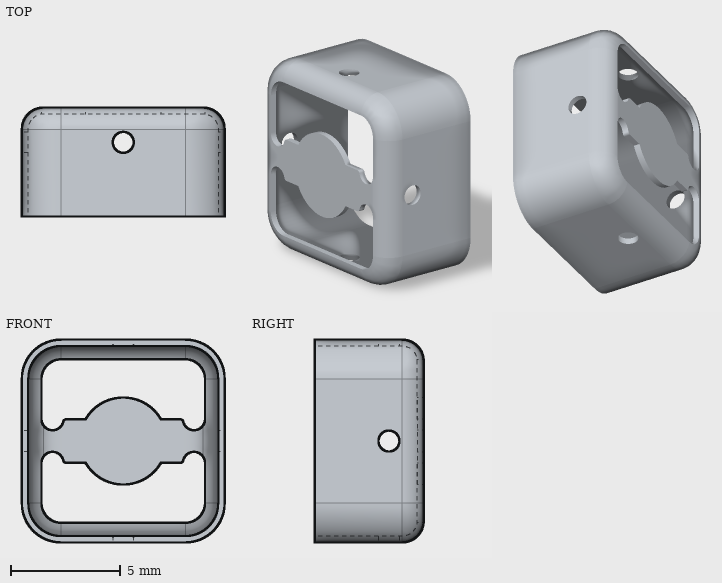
import cadquery as cq

side = 9.3
depth = 5.0
wall = 0.3
corner_radius = 1.8
rim_radius = 1.0

window_inset = 0.91
window_side = side - 2 * window_inset
window_corner_radius = corner_radius - window_inset

disc_radius = 2.0
bar_half_height = disc_radius / 2
notch_radius = bar_half_height / 2
notch_x = window_side / 2 - notch_radius
bar_end_radius = 0.15

hole_diameter = 0.95
hole_from_rear = 1.6

front_y = -depth / 2
rear_y = depth / 2
hole_y = rear_y - hole_from_rear


def front_plane(y):
    """XZ sketch plane at the given Y, extruding toward +Y."""
    return cq.Workplane(cq.Plane(origin=(0, y, 0), xDir=(-1, 0, 0), normal=(0, 1, 0)))


def rounded_block(width, length, edge_radius, rear_radius):
    """Square block from the open front, rounded at its corners and rear rim."""
    block = front_plane(front_y).rect(width, width).extrude(length)
    return block.edges("|Y").fillet(edge_radius).faces(">Y").edges().fillet(rear_radius)


def make_shell():
    outer = rounded_block(side, depth, corner_radius, rim_radius)
    cavity = rounded_block(side - 2 * wall, depth - wall, corner_radius - wall, rim_radius - wall)
    return outer.cut(cavity)


def make_bridge(start_y):
    """Central disc on a horizontal bar, necked by round notches at both ends."""
    plane = front_plane(start_y)
    bar = plane.rect(window_side, 2 * bar_half_height).extrude(rim_radius)
    notch_centres = [(x, z) for x in (-notch_x, notch_x) for z in (-bar_half_height, bar_half_height)]
    notches = plane.pushPoints(notch_centres).circle(notch_radius).extrude(rim_radius)
    bar = bar.cut(notches)

    shoulder_x = notch_x - notch_radius
    for x in (-shoulder_x, shoulder_x):
        for z in (-bar_half_height, bar_half_height):
            corner = cq.selectors.NearestToPointSelector((x, start_y + rim_radius / 2, z))
            bar = bar.edges("|Y").edges(corner).fillet(bar_end_radius)

    disc = plane.circle(disc_radius).extrude(rim_radius)
    return bar.union(disc)


def make_window():
    """Openings above and below the bridge."""
    start_y = rear_y - rim_radius
    opening = front_plane(start_y).rect(window_side, window_side).extrude(rim_radius)
    opening = opening.edges("|Y").fillet(window_corner_radius)
    return opening.cut(make_bridge(start_y))


def make_cross_holes():
    vertical = cq.Workplane("XY").center(0, hole_y).circle(hole_diameter / 2).extrude(side / 2, both=True)
    return vertical.union(vertical.rotate((0, 0, 0), (0, 1, 0), 90))


result = make_shell().cut(make_window()).cut(make_cross_holes())